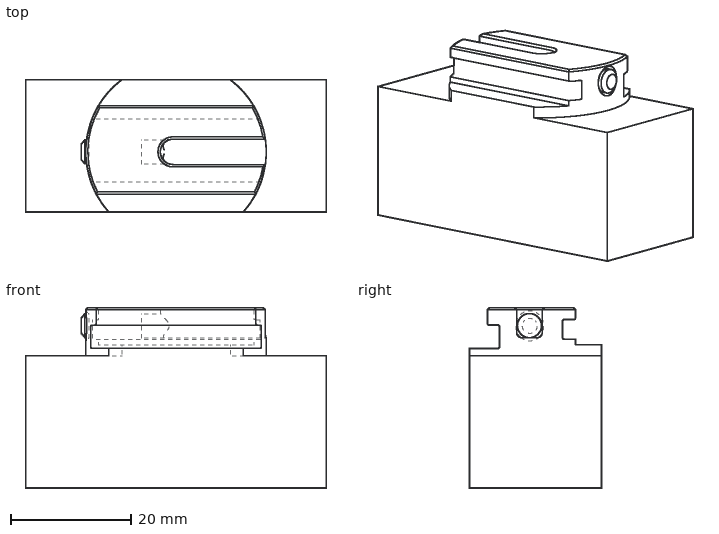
import cadquery as cq
block_length = 50.0
block_width = 22.0
block_height = 22.0

total_height = 30.0
head_radius = 15.0
head_y = -1.0
head_height = total_height - block_height
top_chamfer = 0.35
edge_radius = 0.3

front_lip_y = head_y - 7.0
front_web_y = head_y - 5.0
front_lip_bottom_z = 27.1
front_floor_z = 23.2

back_lip_y = head_y + 7.65
back_web_y = head_y + 5.5
back_lip_bottom_z = 28.0
back_ledge_z = 24.75
back_floor_z = 23.85

slot_width = 4.2
slot_start_x = -0.5
slot_floor_z = 25.0
slot_floor_radius = 0.8
slot_chamfer = 0.4
slot_chamfer_taper = -45.0
slot_overrun = 1.0

screw_z = 27.0
screw_diameter = 4.0
screw_tip_diameter = 2.5
screw_length = 10.0
screw_protrusion = 0.75
screw_tip_length = 0.6
countersink_diameter = 5.0

block_half_width = block_width / 2
head_left_x = -head_radius
slot_radius = slot_width / 2
screw_radius = screw_diameter / 2
screw_tip_x = head_left_x - screw_protrusion
screw_end_x = screw_tip_x + screw_length


def make_block():
    return cq.Workplane("XY").box(block_length, block_width, block_height, centered=(True, True, False))


def make_head():
    """Cylinder cut to the T-shaped cross-section, with its edges broken."""
    profile = (
        cq.Workplane("YZ")
        .moveTo(-block_half_width, block_height)
        .lineTo(-block_half_width, front_floor_z)
        .lineTo(front_web_y, front_floor_z)
        .lineTo(front_web_y, front_lip_bottom_z)
        .lineTo(front_lip_y, front_lip_bottom_z)
        .lineTo(front_lip_y, total_height)
        .lineTo(back_lip_y, total_height)
        .lineTo(back_lip_y, back_lip_bottom_z)
        .lineTo(back_web_y, back_lip_bottom_z)
        .lineTo(back_web_y, back_ledge_z)
        .lineTo(back_lip_y, back_ledge_z)
        .lineTo(back_lip_y, back_floor_z)
        .lineTo(block_half_width, back_floor_z)
        .lineTo(block_half_width, block_height)
        .close()
        .extrude(head_radius, both=True)
    )
    rounded_corners = (
        (front_web_y, front_floor_z),
        (front_web_y, front_lip_bottom_z),
        (front_lip_y, front_lip_bottom_z),
        (back_lip_y, back_lip_bottom_z),
        (back_web_y, back_lip_bottom_z),
        (back_web_y, back_ledge_z),
    )
    for y, z in rounded_corners:
        corner = cq.selectors.NearestToPointSelector((0, y, z))
        profile = profile.edges(corner).fillet(edge_radius)
    cylinder = (
        cq.Workplane("XY", origin=(0, head_y, block_height))
        .circle(head_radius)
        .extrude(head_height)
    )
    return profile.intersect(cylinder).faces(">Z").chamfer(top_chamfer)


def slot_prism(radius, z0, height, taper=0):
    """Round-ended slot shape that runs out past the +X side of the head."""
    slot_exit = head_radius - slot_start_x + slot_overrun
    return (
        cq.Workplane("XY", origin=(slot_start_x, head_y, z0))
        .moveTo(slot_exit, radius)
        .lineTo(0, radius)
        .threePointArc((-radius, 0), (0, -radius))
        .lineTo(slot_exit, -radius)
        .close()
        .extrude(height, taper=taper)
    )


def make_slot():
    depth = total_height - slot_floor_z
    slot = slot_prism(slot_radius, slot_floor_z, depth)
    rounded = slot.faces("<Z").edges("not >X").fillet(slot_floor_radius)
    mouth = slot_prism(slot_radius, total_height - slot_chamfer, slot_chamfer, slot_chamfer_taper)
    return rounded.union(mouth)


def x_cylinder(diameter, x0, x1):
    return (
        cq.Workplane("YZ", origin=(x0, head_y, screw_z))
        .circle(diameter / 2)
        .extrude(x1 - x0)
    )


def make_screw_hole():
    """Hole from the countersunk -X side of the head into the end of the slot."""
    bore = x_cylinder(screw_diameter, head_left_x, slot_start_x)
    countersink_depth = (countersink_diameter - screw_diameter) / 2
    countersink = (
        cq.Workplane("YZ", origin=(head_left_x, head_y, screw_z))
        .circle(countersink_diameter / 2)
        .workplane(offset=countersink_depth)
        .circle(screw_radius)
        .loft(ruled=True)
    )
    return bore.union(countersink)


def make_screw():
    tip_radial_step = (screw_diameter - screw_tip_diameter) / 2
    return x_cylinder(screw_diameter, screw_tip_x, screw_end_x).faces("<X").chamfer(
        screw_tip_length, tip_radial_step
    )


head = make_head().cut(make_slot()).cut(make_screw_hole())
result = make_block().union(head).union(make_screw())